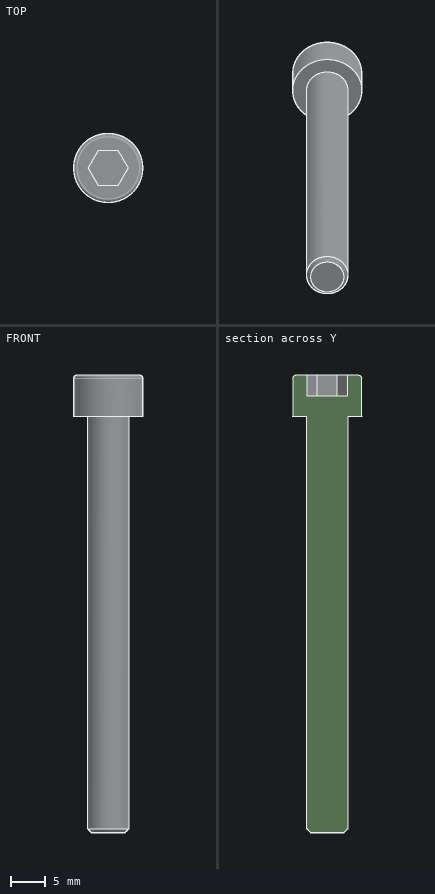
import cadquery as cq
import math

shank_diameter = 6.0
shank_length = 60.0
tip_chamfer = 0.6
head_diameter = 10.0
head_height = 6.0
head_edge_radius = 0.5
socket_sides = 6
socket_across_flats = 5.0
socket_depth = 3.0


def make_head():
    head = cq.Workplane("XY").circle(head_diameter / 2).extrude(head_height)
    return head.faces(">Z").edges().fillet(head_edge_radius)


def make_shank():
    shank = cq.Workplane("XY").circle(shank_diameter / 2).extrude(-shank_length)
    return shank.faces("<Z").edges().chamfer(tip_chamfer)


def make_socket():
    across_corners = socket_across_flats / math.cos(math.pi / socket_sides)
    head_top = cq.Workplane("XY").workplane(offset=head_height)
    return head_top.polygon(socket_sides, across_corners).extrude(-socket_depth)


result = make_head().union(make_shank()).cut(make_socket())